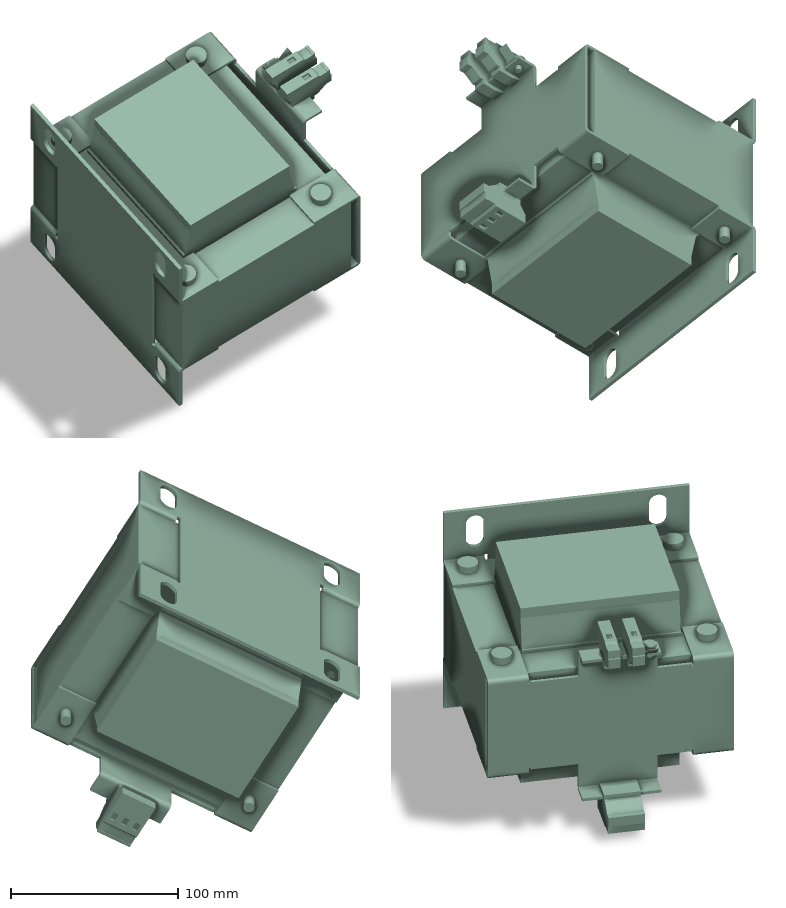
import cadquery as cq
import math


width = 150.0
core_half_height = 33.4
core_back = 127.4
window_half_width = 50.1
window_front = 27.2
window_back = 101.9

plate_height = 140.0
plate_thickness = 2.3
bend_radius = 1.0
cutout_half_width = 47.7
cutout_half_height = 37.1
tab_end = 29.0
slot_x = 55.8
slot_z = 54.5
slot_length = 22.3
slot_width = 11.0

coil_half_width = 48.5
coil_half_height = 62.5
coil_front = 28.0
coil_back = 101.4
coil_shoulder_z = 55.6
coil_foot_z = 35.8
coil_foot_spread = 3.9
flange_front = 22.5
flange_back = 106.5

bracket_thickness = 2.0
bracket_back = 134.5
bracket_front = bracket_back - bracket_thickness
flap_end = 100.0
relief_gap = 0.8
relief_z = 30.1
web_top = 31.2
riser_left = -28.1
riser_right = 20.0
shelf_top = 50.3
shelf_end = 146.5

bolt_x = 62.6
bolt_front_y = 14.0
bolt_back_y = 114.0
bolt_head_radius = 6.2
bolt_head_bottom = 36.3
bolt_head_top = 41.0
washer_radius = 5.9
bolt_radius = 3.3
bolt_front_tip = -43.5
bolt_back_tip = -44.1

terminal_left = -15.0
terminal_width = 7.5
terminal_back = 162.7
terminal_top = 66.2
socket_width = 3.4
socket_front = 144.3
socket_back = 149.4
socket_depth = 1.6

earth_x = -22.0
earth_y = 141.4
lug_width = 8.5
lug_front = 136.7
lug_back = 147.4
lug_thickness = 1.5
tongue_width = 6.3
tongue_thickness = 0.8
tongue_end_y = 153.8
tongue_end_z = 58.1
earth_head_radius = 4.0
earth_head_top = 54.2
earth_screw_radius = 2.0
earth_screw_tip = 45.2


def box(x0, x1, y0, y1, z0, z1):
    return cq.Workplane("XY").box(x1 - x0, y1 - y0, z1 - z0, centered=False).translate((x0, y0, z0))


def cylinder(radius, x, y, z0, z1):
    return cq.Workplane("XY", origin=(x, y, z0)).circle(radius).extrude(z1 - z0)


def extrude_side(points, x0, x1):
    """Extrude a closed (Y, Z) outline from x0 to x1."""
    return cq.Workplane("YZ", origin=(x0, 0, 0)).polyline(points).close().extrude(x1 - x0)


def mirror_z(body):
    return body.union(body.mirror("XY"))


def mirror_x(body):
    return body.union(body.mirror("YZ"))


def bent_sheet(x0, x1, corner, end_y, end_z, thickness):
    """Sheet folded by 90 degrees about X; corner is the sharp outer corner of the fold in (Y, Z)."""
    corner_y, corner_z = corner
    dir_y = math.copysign(1, end_y - corner_y)
    dir_z = math.copysign(1, end_z - corner_z)
    outer_radius = bend_radius + thickness
    centre_y = corner_y + dir_y * outer_radius
    centre_z = corner_z + dir_z * outer_radius

    def on_arc(radius):
        reach = radius * math.sqrt(0.5)
        return (centre_y - dir_y * reach, centre_z - dir_z * reach)

    inner_y = corner_y + dir_y * thickness
    inner_z = corner_z + dir_z * thickness
    return (
        cq.Workplane("YZ", origin=(x0, 0, 0))
        .moveTo(end_y, corner_z)
        .lineTo(centre_y, corner_z)
        .threePointArc(on_arc(outer_radius), (corner_y, centre_z))
        .lineTo(corner_y, end_z)
        .lineTo(inner_y, end_z)
        .lineTo(inner_y, centre_z)
        .threePointArc(on_arc(bend_radius), (centre_y, inner_z))
        .lineTo(end_y, inner_z)
        .close()
        .extrude(x1 - x0)
    )


def make_core():
    core = box(-width / 2, width / 2, plate_thickness, core_back, -core_half_height, core_half_height)
    window = box(
        -window_half_width, window_half_width, window_front, window_back, -core_half_height, core_half_height
    )
    return core.cut(window)


def make_coil():
    upper_half = [
        (window_front, 0),
        (window_front, core_half_height),
        (flange_front, core_half_height),
        (flange_front, coil_foot_z),
        (coil_front - coil_foot_spread, coil_foot_z),
        (coil_front, coil_shoulder_z),
        (coil_front, coil_half_height),
        (coil_back, coil_half_height),
        (coil_back, coil_shoulder_z),
        (coil_back + coil_foot_spread, coil_foot_z),
        (flange_back, coil_foot_z),
        (flange_back, core_half_height),
        (window_back, core_half_height),
        (window_back, 0),
    ]
    return mirror_z(extrude_side(upper_half, -coil_half_width, coil_half_width))


def make_mounting_plate():
    plate = box(-width / 2, width / 2, 0, plate_thickness, -plate_height / 2, plate_height / 2)
    cutout = box(
        cutout_half_width, width / 2, 0, plate_thickness, -cutout_half_height, cutout_half_height
    )
    slots = (
        cq.Workplane("XZ")
        .rect(2 * slot_x, 2 * slot_z, forConstruction=True)
        .vertices()
        .slot2D(slot_length, slot_width, 90)
        .extrude(-plate_thickness)
    )
    tab = bent_sheet(
        window_half_width, width / 2, (0, core_half_height), tab_end, cutout_half_height, plate_thickness
    )
    return plate.cut(mirror_x(cutout)).cut(slots).union(mirror_x(mirror_z(tab)))


def make_rear_bracket():
    web = box(-width / 2, width / 2, bracket_front, bracket_back, -relief_z, relief_z)
    centre_half_width = window_half_width - relief_gap
    centre = box(-centre_half_width, centre_half_width, bracket_front, bracket_back, -web_top, web_top)
    flap_corner = (bracket_back, core_half_height + bracket_thickness)
    flap = bent_sheet(window_half_width, width / 2, flap_corner, flap_end, relief_z, bracket_thickness)
    shelf_corner = (bracket_front, shelf_top)
    shelf = bent_sheet(riser_left, riser_right, shelf_corner, shelf_end, web_top, bracket_thickness)
    return web.union(centre).union(mirror_x(mirror_z(flap))).union(mirror_z(shelf))


def make_bolt(x, y, tip_z):
    head = cylinder(bolt_head_radius, x, y, bolt_head_bottom, bolt_head_top)
    washer = cylinder(washer_radius, x, y, core_half_height, bolt_head_bottom)
    shank = cylinder(bolt_radius, x, y, tip_z, core_half_height)
    return head.union(washer).union(shank)


def make_terminal(x0):
    """One terminal block standing on the upper shelf, with a square socket in its top."""
    outline = [
        (129.8, terminal_top),
        (152.8, terminal_top),
        (154.0, 64.9),
        (159.6, 64.9),
        (159.6, 65.4),
        (161.5, 65.4),
        (161.5, 59.9),
        (terminal_back, 59.9),
        (terminal_back, 53.4),
        (158.8, 53.4),
        (152.5, 48.5),
        (150.2, 48.5),
        (150.2, 45.2),
        (140.4, 45.2),
        (133.7, 46.7),
        (133.7, 54.0),
        (129.8, 59.9),
    ]
    block = extrude_side(outline, x0, x0 + terminal_width)
    socket_left = x0 + (terminal_width - socket_width) / 2
    socket = box(
        socket_left, socket_left + socket_width, socket_front, socket_back,
        terminal_top - socket_depth, terminal_top,
    )
    return block.cut(socket)


def make_earth_terminal():
    lug_top = shelf_top + lug_thickness
    lug = box(earth_x - lug_width / 2, earth_x + lug_width / 2, lug_front, lug_back, shelf_top, lug_top)
    tongue_outline = [
        (lug_back, lug_top),
        (tongue_end_y, tongue_end_z),
        (tongue_end_y, tongue_end_z - tongue_thickness),
        (lug_back, lug_top - tongue_thickness),
        (lug_back - tongue_thickness, lug_top - tongue_thickness),
        (lug_back - tongue_thickness, lug_top),
    ]
    tongue = extrude_side(tongue_outline, earth_x - tongue_width / 2, earth_x + tongue_width / 2)
    head = cylinder(earth_head_radius, earth_x, earth_y, lug_top, earth_head_top)
    screw = cylinder(earth_screw_radius, earth_x, earth_y, earth_screw_tip, lug_top)
    return lug.union(tongue).union(head).union(screw)


result = make_core().union(make_coil()).union(make_mounting_plate()).union(make_rear_bracket())

for side in (-1, 1):
    result = result.union(make_bolt(side * bolt_x, bolt_front_y, bolt_front_tip))
    result = result.union(make_bolt(side * bolt_x, bolt_back_y, bolt_back_tip))

for position in range(3):
    terminal = make_terminal(terminal_left + position * terminal_width)
    result = result.union(terminal.mirror("XY"))
    if position != 1:
        result = result.union(terminal)

result = result.union(make_earth_terminal())